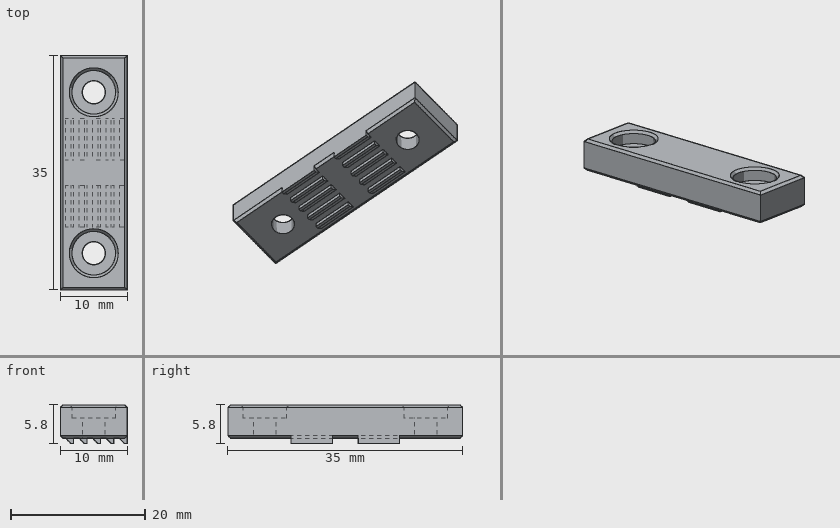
import cadquery as cq

PLATE_WIDTH = 10.0
PLATE_LENGTH = 35.0
PLATE_HEIGHT = 5.0
EDGE_CHAMFER = 0.4

HOLE_SPACING = 24.0
HOLE_DIAMETER = 3.4
BORE_DIAMETER = 6.5
BORE_DEPTH = 2.0
BORE_CHAMFER = 0.4

TOOTH_COUNT = 5
TOOTH_PITCH = PLATE_WIDTH / TOOTH_COUNT
TOOTH_HEIGHT = 0.8
TOOTH_TIP_WIDTH = 0.4
TOOTH_ROOT_WIDTH = TOOTH_TIP_WIDTH + TOOTH_HEIGHT
TOOTH_LENGTH = 6.2
TOOTH_ROW_SPACING = 10.0


def make_plate():
    """Rectangular bar with chamfered top and bottom edges."""
    plate = cq.Workplane("XY").box(
        PLATE_WIDTH, PLATE_LENGTH, PLATE_HEIGHT, centered=(True, True, False)
    )
    return plate.faces("<Z or >Z").chamfer(EDGE_CHAMFER)


def make_screw_hole(y):
    """Solid to remove for one counterbored hole with a chamfered mouth."""
    bore_floor = PLATE_HEIGHT - BORE_DEPTH
    bore_radius = BORE_DIAMETER / 2
    hole_radius = HOLE_DIAMETER / 2
    half_section = (
        cq.Workplane("XZ")
        .moveTo(0, 0)
        .lineTo(hole_radius, 0)
        .lineTo(hole_radius, bore_floor)
        .lineTo(bore_radius, bore_floor)
        .lineTo(bore_radius, PLATE_HEIGHT - BORE_CHAMFER)
        .lineTo(bore_radius + BORE_CHAMFER, PLATE_HEIGHT)
        .lineTo(0, PLATE_HEIGHT)
        .close()
    )
    return half_section.revolve(360, (0, 0, 0), (0, 1, 0)).translate((0, y, 0))


def make_tooth(x_upright, y):
    """One tooth: upright flank at x_upright, sloping flank facing -X.

    The root reaches up into the plate by the edge chamfer, so the outermost
    tooth stays flush with the side of the plate.
    """
    profile = (
        cq.Workplane("XZ")
        .moveTo(x_upright, EDGE_CHAMFER)
        .lineTo(x_upright, -TOOTH_HEIGHT)
        .lineTo(x_upright - TOOTH_TIP_WIDTH, -TOOTH_HEIGHT)
        .lineTo(x_upright - TOOTH_ROOT_WIDTH, 0)
        .lineTo(x_upright - TOOTH_ROOT_WIDTH, EDGE_CHAMFER)
        .close()
    )
    return profile.extrude(TOOTH_LENGTH / 2, both=True).translate((0, y, 0))


result = make_plate()

for side in (-1, 1):
    result = result.cut(make_screw_hole(side * HOLE_SPACING / 2))
    for index in range(TOOTH_COUNT):
        x_upright = PLATE_WIDTH / 2 - index * TOOTH_PITCH
        result = result.union(make_tooth(x_upright, side * TOOTH_ROW_SPACING / 2))